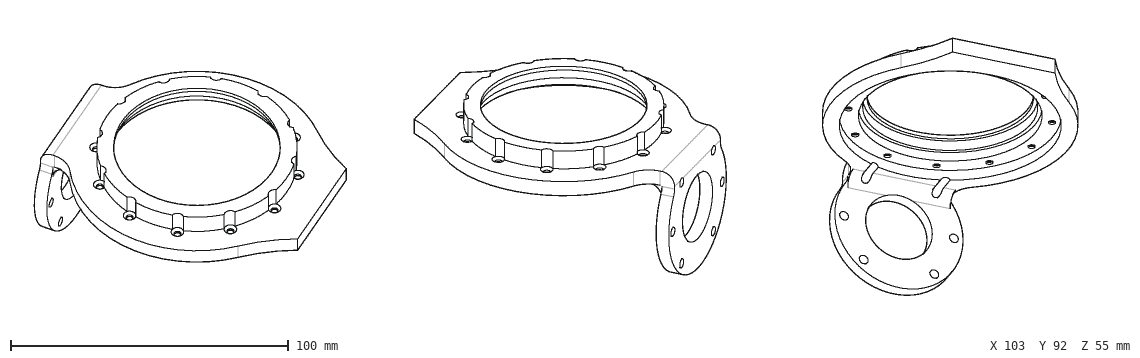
import cadquery as cq
import math

LENGTH = 103.0
HEIGHT = 55.0
WIDTH = 92.0
BODY_RADIUS = WIDTH / 2
NECK_FACE_X = -52.9
END_FACE_X = NECK_FACE_X + LENGTH
NECK_HALF_WIDTH = 20.0
PLATE_THICKNESS = 5.8
HUB_HEIGHT = 7.2
HUB_RADIUS = 36.0
OVERLAP = 1.0

NECK_BLEND_RADIUS = 10.0
END_BLEND_RADIUS = 70.0

BORE_STEPS = ((30.0, 1.5), (31.5, 5.5), (33.1, 9.0))
RECESS_RADIUS = 40.0

SCREW_COUNT = 12
SCREW_CIRCLE_RADIUS = 37.0
SCREW_HOLE_DIAMETER = 2.6
SCREW_HEAD_DIAMETER = 4.5
COUNTERSINK_DEPTH = (SCREW_HEAD_DIAMETER - SCREW_HOLE_DIAMETER) / 2

FLANGE_THICKNESS = 5.0
FLANGE_INNER_X = NECK_FACE_X + FLANGE_THICKNESS
BEND_RADIUS = FLANGE_THICKNESS
FLANGE_RADIUS = 25.0
FLANGE_CENTER_Z = HUB_HEIGHT - HEIGHT + FLANGE_RADIUS
FLANGE_BLEND_RADIUS = 5.0
FLANGE_BORE_RADIUS = 13.0
FLANGE_HOLE_DIAMETER = 3.4
FLANGE_HOLE_CIRCLE_RADIUS = 21.4
FLANGE_HOLE_SPREAD = 50
FLANGE_HOLE_ANGLES = [
    side + turn for side in (0, 180) for turn in (-FLANGE_HOLE_SPREAD, 0, FLANGE_HOLE_SPREAD)
]


def disc(radius, bottom, top):
    """Cylinder on the ring axis between two heights."""
    return cq.Workplane("XY").workplane(offset=bottom).circle(radius).extrude(top - bottom)


def end_blend_center():
    """Centre of the concave arc that touches the body circle and ends at the end face's +Y corner."""
    corner_distance = math.hypot(END_FACE_X, NECK_HALF_WIDTH)
    center_distance = BODY_RADIUS + END_BLEND_RADIUS
    cosine = (corner_distance**2 + center_distance**2 - END_BLEND_RADIUS**2) / (
        2 * corner_distance * center_distance
    )
    angle = math.atan2(NECK_HALF_WIDTH, END_FACE_X) + math.acos(cosine)
    return center_distance * math.cos(angle), center_distance * math.sin(angle)


def arc_middle(center, radius, start, end):
    """Point on a circle halfway along the short arc from start to end."""
    middle_x = (start[0] + end[0]) / 2 - center[0]
    middle_y = (start[1] + end[1]) / 2 - center[1]
    scale = radius / math.hypot(middle_x, middle_y)
    return center[0] + middle_x * scale, center[1] + middle_y * scale


def mirrored(point):
    """Point reflected to the -Y side."""
    return point[0], -point[1]


def plate():
    """Ring plate with a blended neck on -X and a tapering tab on +X."""
    neck_center_y = NECK_HALF_WIDTH + NECK_BLEND_RADIUS
    neck_center_distance = BODY_RADIUS + NECK_BLEND_RADIUS
    neck_center = (-math.sqrt(neck_center_distance**2 - neck_center_y**2), neck_center_y)
    neck_scale = BODY_RADIUS / neck_center_distance
    neck_touch = (neck_center[0] * neck_scale, neck_center[1] * neck_scale)
    neck_side_end = (neck_center[0], NECK_HALF_WIDTH)
    neck_middle = arc_middle(neck_center, NECK_BLEND_RADIUS, neck_side_end, neck_touch)

    end_center = end_blend_center()
    end_scale = BODY_RADIUS / (BODY_RADIUS + END_BLEND_RADIUS)
    end_touch = (end_center[0] * end_scale, end_center[1] * end_scale)
    end_corner = (END_FACE_X, NECK_HALF_WIDTH)
    end_middle = arc_middle(end_center, END_BLEND_RADIUS, end_touch, end_corner)

    neck_corner = (NECK_FACE_X, NECK_HALF_WIDTH)
    return (
        cq.Workplane("XY")
        .workplane(offset=-PLATE_THICKNESS)
        .moveTo(*neck_corner)
        .lineTo(*neck_side_end)
        .threePointArc(neck_middle, neck_touch)
        .threePointArc((0, BODY_RADIUS), end_touch)
        .threePointArc(end_middle, end_corner)
        .lineTo(*mirrored(end_corner))
        .threePointArc(mirrored(end_middle), mirrored(end_touch))
        .threePointArc((0, -BODY_RADIUS), mirrored(neck_touch))
        .threePointArc(mirrored(neck_middle), mirrored(neck_side_end))
        .lineTo(*mirrored(neck_corner))
        .close()
        .extrude(PLATE_THICKNESS)
    )


def flange():
    """Round flange hanging from the neck, blended into the neck's straight sides."""
    face = cq.Workplane("YZ", origin=(NECK_FACE_X, 0, 0))
    round_part = face.center(0, FLANGE_CENTER_Z).circle(FLANGE_RADIUS).extrude(FLANGE_THICKNESS)
    web = (
        face.center(0, FLANGE_CENTER_Z / 2)
        .rect(2 * NECK_HALF_WIDTH, -FLANGE_CENTER_Z)
        .extrude(FLANGE_THICKNESS)
    )
    corner_z = FLANGE_CENTER_Z + math.sqrt(FLANGE_RADIUS**2 - NECK_HALF_WIDTH**2)
    above_plate = (
        face.center(0, FLANGE_RADIUS / 2)
        .rect(2 * FLANGE_RADIUS, FLANGE_RADIUS)
        .extrude(FLANGE_THICKNESS)
    )
    blended = round_part.union(web).cut(above_plate)
    for side in (-1, 1):
        corner = (NECK_FACE_X + FLANGE_THICKNESS / 2, side * NECK_HALF_WIDTH, corner_z)
        blended = blended.edges(cq.NearestToPointSelector(corner)).fillet(FLANGE_BLEND_RADIUS)
    return blended


def corner_strip(corner_x, corner_z):
    """Strip across the neck between a square corner and the round below it on its +X side."""
    end_x = corner_x + BEND_RADIUS
    end_z = corner_z - BEND_RADIUS
    arc_point = arc_middle((end_x, end_z), BEND_RADIUS, (end_x, corner_z), (corner_x, end_z))
    return (
        cq.Workplane("XZ", origin=(0, NECK_HALF_WIDTH, 0))
        .moveTo(corner_x, corner_z)
        .lineTo(end_x, corner_z)
        .threePointArc(arc_point, (corner_x, end_z))
        .close()
        .extrude(2 * NECK_HALF_WIDTH)
    )


def bracket():
    """Plate and flange joined by a bend that is rounded inside and outside."""
    inner_round = corner_strip(FLANGE_INNER_X, -PLATE_THICKNESS)
    outer_corner = corner_strip(NECK_FACE_X, 0)
    return plate().union(flange()).union(inner_round).cut(outer_corner)


def stepped_bore():
    """Bore that widens downward in steps, opening into a wide recess under the plate."""
    bore = disc(RECESS_RADIUS, -PLATE_THICKNESS - OVERLAP, HUB_HEIGHT - BORE_STEPS[-1][1])
    top = HUB_HEIGHT
    for radius, depth in BORE_STEPS:
        bottom = HUB_HEIGHT - depth
        bore = bore.union(disc(radius, bottom, top))
        top = bottom
    return bore


def screw_cutter():
    """Through hole, countersink and head clearance that scallops the hub wall."""
    head_radius = SCREW_HEAD_DIAMETER / 2
    hole_radius = SCREW_HOLE_DIAMETER / 2
    return (
        cq.Workplane("XZ")
        .polyline(
            [
                (0, HUB_HEIGHT + OVERLAP),
                (head_radius, HUB_HEIGHT + OVERLAP),
                (head_radius, 0),
                (hole_radius, -COUNTERSINK_DEPTH),
                (hole_radius, -PLATE_THICKNESS - OVERLAP),
                (0, -PLATE_THICKNESS - OVERLAP),
            ]
        )
        .close()
        .revolve(360, (0, 0, 0), (0, 1, 0))
    )


def flange_cutter(radius, y, z, end_x):
    """Cylinder along X that starts at the flange's outer face."""
    start_x = NECK_FACE_X - OVERLAP
    return cq.Workplane("YZ", origin=(start_x, y, z)).circle(radius).extrude(end_x - start_x)


result = bracket().union(disc(HUB_RADIUS, -PLATE_THICKNESS, HUB_HEIGHT)).cut(stepped_bore())

for index in range(SCREW_COUNT):
    screw_angle = math.radians((index + 0.5) * 360 / SCREW_COUNT)
    screw_x = SCREW_CIRCLE_RADIUS * math.cos(screw_angle)
    screw_y = SCREW_CIRCLE_RADIUS * math.sin(screw_angle)
    result = result.cut(screw_cutter().translate((screw_x, screw_y, 0)))

result = result.cut(flange_cutter(FLANGE_BORE_RADIUS, 0, FLANGE_CENTER_Z, FLANGE_INNER_X + OVERLAP))

for hole_angle in FLANGE_HOLE_ANGLES:
    hole_y = FLANGE_HOLE_CIRCLE_RADIUS * math.cos(math.radians(hole_angle))
    hole_z = FLANGE_CENTER_Z + FLANGE_HOLE_CIRCLE_RADIUS * math.sin(math.radians(hole_angle))
    result = result.cut(flange_cutter(FLANGE_HOLE_DIAMETER / 2, hole_y, hole_z, 0))